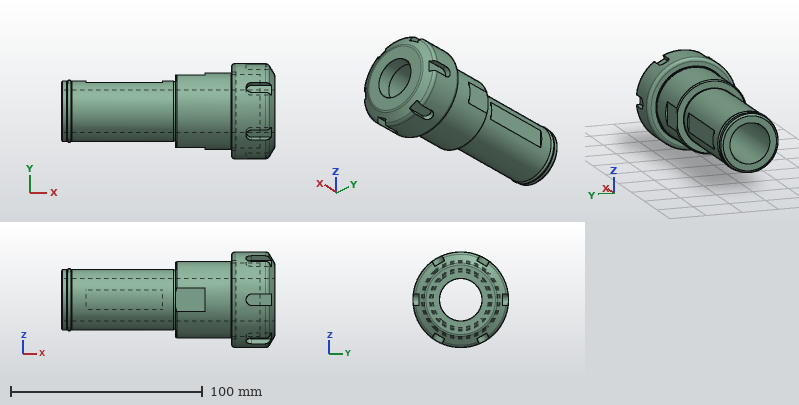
import cadquery as cq
import math

total_length = 111.5
bore_radius = 22.1 / 2

shank_radius = 31.8 / 2
shank_chamfer_length = 0.7
shank_chamfer_depth = 1.1
seal_groove_center = 4.1
seal_groove_width = 2.7
seal_groove_radius = 28.9 / 2
seal_outer_radius = 16.3
shank_flat_start = 12.9
shank_flat_end = 52.7
shank_flat_offset = 15.0

collar_start = 59.5
collar_end = 89.1
collar_radius = 40.0 / 2
collar_chamfer = 0.7
undercut_width = 1.0
undercut_radius = 31.1 / 2
wrench_flat_end = 74.8
wrench_flat_offset = 38.0 / 2

spigot_radius = 38.4 / 2
spigot_end = 103.7

nut_start = 88.8
nut_radius = 50.0 / 2
nut_back_fillet = 1.9
nut_front_fillet = 2.5
nut_recess_radius = 41.0 / 2
nut_recess_depth = 2.2
nut_cone_end = 111.2
nut_cone_end_radius = 19.2
nut_face_radius = 36.2 / 2
nut_cone_slope = 60.0

slot_count = 6
slot_start = 96.3
slot_width = 5.9
slot_floor_radius = 21.9


def revolve_about_x(profile):
    """Revolve a closed (X, radius) profile in the XY plane about the X axis."""
    return profile.close().revolve(360, (0, 0, 0), (1, 0, 0))


def flat_cutter(start, end, offset, side):
    """Block that removes everything beyond a flat on the +Y (1) or -Y (-1) side."""
    depth = nut_radius
    return cq.Workplane("XY").box(end - start, depth, 2 * nut_radius).translate(
        ((start + end) / 2, side * (offset + depth / 2), 0)
    )


def make_holder():
    groove_start = seal_groove_center - seal_groove_width / 2
    groove_end = seal_groove_center + seal_groove_width / 2
    undercut_start = collar_start - undercut_width
    profile = cq.Workplane("XY").polyline([
        (0, bore_radius),
        (0, shank_radius - shank_chamfer_depth),
        (shank_chamfer_length, shank_radius),
        (groove_start, shank_radius),
        (groove_start, seal_groove_radius),
        (groove_end, seal_groove_radius),
        (groove_end, shank_radius),
        (undercut_start, shank_radius),
        (undercut_start, undercut_radius),
        (collar_start, undercut_radius),
        (collar_start, collar_radius - collar_chamfer),
        (collar_start + collar_chamfer, collar_radius),
        (collar_end - collar_chamfer, collar_radius),
        (collar_end, collar_radius - collar_chamfer),
        (collar_end, spigot_radius),
        (spigot_end, spigot_radius),
        (spigot_end, bore_radius),
    ])
    holder = revolve_about_x(profile)
    holder = holder.cut(flat_cutter(shank_flat_start, shank_flat_end, shank_flat_offset, 1))
    for side in (-1, 1):
        holder = holder.cut(flat_cutter(collar_start, wrench_flat_end, wrench_flat_offset, side))
    return holder


def make_seal_ring():
    """O-ring resting on the floor of the seal groove."""
    section_radius = (seal_outer_radius - seal_groove_radius) / 2
    center_radius = seal_groove_radius + section_radius
    section = cq.Workplane("XY").center(seal_groove_center, center_radius).circle(section_radius)
    return section.revolve(360, (0, -center_radius, 0), (1, -center_radius, 0))


def make_slot_cutter():
    """Round-ended slot on the +Y side, open toward the nut face."""
    half_width = slot_width / 2
    arc_center = slot_start + half_width
    outline = (
        cq.Workplane("XZ", origin=(0, slot_floor_radius, 0))
        .moveTo(total_length, -half_width)
        .lineTo(arc_center, -half_width)
        .threePointArc((slot_start, 0), (arc_center, half_width))
        .lineTo(total_length, half_width)
        .close()
    )
    return outline.extrude(-nut_radius)


def make_nut():
    cone_rise = nut_radius - nut_cone_end_radius
    cone_start = nut_cone_end - cone_rise / math.tan(math.radians(nut_cone_slope))
    slope = math.radians(nut_cone_slope)
    tangent_length = nut_front_fillet * math.tan(slope / 2)
    fillet_start = cone_start - tangent_length
    fillet_center_radius = nut_radius - nut_front_fillet
    fillet_middle = (
        fillet_start + nut_front_fillet * math.sin(slope / 2),
        fillet_center_radius + nut_front_fillet * math.cos(slope / 2),
    )
    fillet_end = (
        fillet_start + nut_front_fillet * math.sin(slope),
        fillet_center_radius + nut_front_fillet * math.cos(slope),
    )
    back_fillet_middle = (
        nut_start + nut_back_fillet * (1 - math.cos(math.pi / 4)),
        nut_radius - nut_back_fillet * (1 - math.sin(math.pi / 4)),
    )
    recess_end = nut_start + nut_recess_depth
    profile = (
        cq.Workplane("XY")
        .moveTo(nut_start, nut_recess_radius)
        .lineTo(nut_start, nut_radius - nut_back_fillet)
        .threePointArc(back_fillet_middle, (nut_start + nut_back_fillet, nut_radius))
        .lineTo(fillet_start, nut_radius)
        .threePointArc(fillet_middle, fillet_end)
        .lineTo(nut_cone_end, nut_cone_end_radius)
        .lineTo(total_length, nut_face_radius)
        .lineTo(total_length, bore_radius)
        .lineTo(spigot_end, bore_radius)
        .lineTo(spigot_end, spigot_radius)
        .lineTo(recess_end, spigot_radius)
        .lineTo(recess_end, nut_recess_radius)
    )
    nut = revolve_about_x(profile)
    slot_cutter = make_slot_cutter()
    for index in range(slot_count):
        angle = index * 360 / slot_count
        nut = nut.cut(slot_cutter.rotate((0, 0, 0), (1, 0, 0), angle))
    return nut


holder = make_holder()
seal_ring = make_seal_ring()
nut = make_nut()

result = cq.Compound.makeCompound([holder.val(), seal_ring.val(), nut.val()])